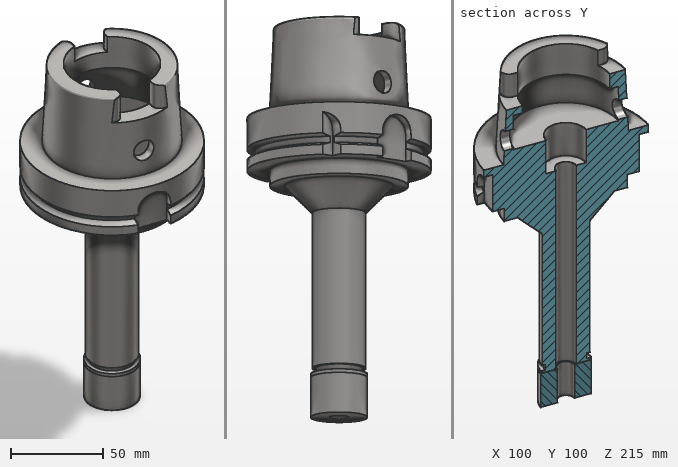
import cadquery as cq
import math

total_length = 215.0
taper_length = 50.0
flange_height = 28.8
collar_height = 8.4
cone_height = 14.8
nut_length = 22.0
end_ring_height = 2.0
neck_height = 3.2

flange_top = total_length - taper_length
flange_bottom = flange_top - flange_height
collar_bottom = flange_bottom - collar_height
cone_bottom = collar_bottom - cone_height
end_ring_top = nut_length + end_ring_height
neck_top = end_ring_top + neck_height

flange_radius = 100.0 / 2
taper_base_radius = 76.1 / 2
taper_ratio = 0.05
taper_end_radius = taper_base_radius - taper_ratio * taper_length
collar_radius = 75.0 / 2
shank_radius = 29.2 / 2
cone_top_radius = shank_radius + cone_height
neck_radius = 25.4 / 2
nut_radius = 30.7 / 2
end_rounding = 1.5

groove_radius = 92.0 / 2
lower_rim_height = 5.4
groove_floor_height = 3.5
lower_flank_height = 1.7
upper_flank_height = 1.3

bore_radius = 52.7 / 2
mouth_depth = 20.0
bore_depth = 42.0
chamber_radius = 63.5 / 2
counterbore_radius = 24.0 / 2
counterbore_depth = 21.5
passage_radius = 12.0 / 2
nut_hole_radius = 10.3 / 2

key_width = 20.0
slot_depths = {-1: 9.9, 1: 15.0}
shoulder_distance = 32.0
slot_corner_radius = 5.0

cross_hole_radius = 12.3 / 2
cross_hole_height = 15.0

keyway_floor_distance = 44.5
keyway_arc_height = 14.0
notch_floor_distance = 32.0
notch_wall_distance = 31.4


def turned_holder():
    groove_bottom = flange_bottom + lower_rim_height
    groove_floor_bottom = groove_bottom + lower_flank_height
    groove_floor_top = groove_floor_bottom + groove_floor_height
    groove_top = groove_floor_top + upper_flank_height
    outline = [
        (0, nut_length),
        (nut_radius, nut_length),
        (nut_radius, end_ring_top),
        (neck_radius, end_ring_top),
        (neck_radius, neck_top),
        (shank_radius, neck_top),
        (shank_radius, cone_bottom),
        (cone_top_radius, collar_bottom),
        (collar_radius, collar_bottom),
        (collar_radius, flange_bottom),
        (flange_radius, flange_bottom),
        (flange_radius, groove_bottom),
        (groove_radius, groove_floor_bottom),
        (groove_radius, groove_floor_top),
        (flange_radius, groove_top),
        (flange_radius, flange_top),
        (taper_base_radius, flange_top),
        (taper_end_radius, total_length),
        (0, total_length),
    ]
    body = cq.Workplane("XZ").polyline(outline).close().revolve(360, (0, 0), (0, 1))
    outer_rim = cq.selectors.BoxSelector(
        (-flange_radius, -flange_radius, total_length - end_rounding),
        (flange_radius, flange_radius, total_length + end_rounding),
    )
    return body.edges(outer_rim).fillet(end_rounding)


def stepped_bore():
    bore_floor = total_length - bore_depth
    counterbore_floor = bore_floor - counterbore_depth
    outline = [
        (0, nut_length),
        (passage_radius, nut_length),
        (passage_radius, counterbore_floor),
        (counterbore_radius, counterbore_floor),
        (counterbore_radius, bore_floor),
        (chamber_radius, bore_floor),
        (chamber_radius, total_length - mouth_depth),
        (bore_radius, total_length - mouth_depth),
        (bore_radius, total_length),
        (0, total_length),
    ]
    return cq.Workplane("XZ").polyline(outline).close().revolve(360, (0, 0), (0, 1))


def drive_slot(side):
    """Slot of key width that flares through rounded corners into a flat shoulder; side is -1 or 1."""
    half_width = key_width / 2
    corner_start = shoulder_distance - slot_corner_radius
    corner_end = half_width + slot_corner_radius
    arc_offset = slot_corner_radius * (1 - math.sqrt(0.5))
    arc_middle = (shoulder_distance - arc_offset, half_width + arc_offset)
    return (
        cq.Workplane("XY", origin=(0, 0, total_length - slot_depths[side]))
        .moveTo(0, -half_width)
        .lineTo(side * corner_start, -half_width)
        .threePointArc((side * arc_middle[0], -arc_middle[1]), (side * shoulder_distance, -corner_end))
        .lineTo(side * shoulder_distance, -flange_radius)
        .lineTo(side * flange_radius, -flange_radius)
        .lineTo(side * flange_radius, flange_radius)
        .lineTo(side * shoulder_distance, flange_radius)
        .lineTo(side * shoulder_distance, corner_end)
        .threePointArc((side * arc_middle[0], arc_middle[1]), (side * corner_start, half_width))
        .lineTo(0, half_width)
        .close()
        .extrude(slot_depths[side])
    )


def round_topped_cutter(side, floor_distance, center_y):
    """Key-width cutter with a half-round top, from floor_distance outward along X."""
    half_width = key_width / 2
    arc_center = flange_bottom + keyway_arc_height
    profile = (
        cq.Workplane("YZ", origin=(side * floor_distance, 0, 0))
        .moveTo(center_y - half_width, flange_bottom)
        .lineTo(center_y + half_width, flange_bottom)
        .lineTo(center_y + half_width, arc_center)
        .threePointArc((center_y, arc_center + half_width), (center_y - half_width, arc_center))
        .close()
    )
    return profile.extrude(side * flange_radius)


def make_holder():
    holder = turned_holder().cut(stepped_bore())
    for side in (-1, 1):
        holder = holder.cut(drive_slot(side))
        holder = holder.cut(round_topped_cutter(side, keyway_floor_distance, 0))
    indexing_notch = round_topped_cutter(-1, notch_floor_distance, notch_wall_distance + key_width / 2)
    cross_hole = (
        cq.Workplane("YZ")
        .center(0, flange_top + cross_hole_height)
        .circle(cross_hole_radius)
        .extrude(flange_radius, both=True)
    )
    return holder.cut(indexing_notch).cut(cross_hole)


def make_nut():
    return cq.Workplane("XY").circle(nut_radius).circle(nut_hole_radius).extrude(nut_length)


holder = make_holder()
nut = make_nut()
result = cq.Compound.makeCompound([holder.val(), nut.val()])